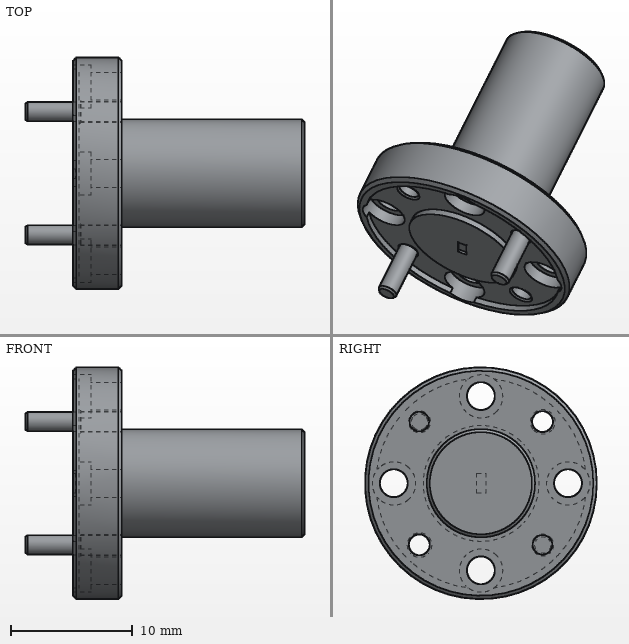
import cadquery as cq
import math

total_length = 22.92
pin_reach = 3.9
flange_diameter = 19.05
flange_thickness = 4.03
barrel_diameter = 8.9
flange_chamfer = 0.3
barrel_chamfer = 0.25

groove_outer_diameter = 17.28
boss_diameter = 9.51
groove_depth = 0.5

pitch_radius = 7.15
screw_hole_diameter = 2.27
counterbore_diameter = 3.55
counterbore_depth = 1.5
dowel_hole_diameter = 1.7
dowel_hole_chamfer = 0.15

pin_diameter = 1.6
pin_chamfer_length = 0.2
pin_chamfer_width = 0.14
pin_hole_chamfer = 0.1

port_width = 0.78
port_height = 1.6
port_depth = 0.2

flange_face = pin_reach
flange_back = flange_face + flange_thickness
groove_floor = flange_face + groove_depth

screw_angles = [0, 90, 180, 270]
dowel_hole_angles = [45, 225]
pin_angles = [135, 315]


def pitch_point(angle):
    """Y and Z of a point on the pitch circle, at an angle from +Y toward +Z."""
    radians = math.radians(angle)
    return pitch_radius * math.cos(radians), pitch_radius * math.sin(radians)


def cylinder(diameter, start, end, angle=None):
    """Cylinder along X, on the main axis or, given an angle, on the pitch circle."""
    y, z = (0, 0) if angle is None else pitch_point(angle)
    return cq.Workplane("YZ", origin=(start, y, z)).circle(diameter / 2).extrude(end - start)


def make_blank():
    """Chamfered flange disc joined to the barrel."""
    flange = cylinder(flange_diameter, flange_face, flange_back).edges().chamfer(flange_chamfer)
    barrel = cylinder(barrel_diameter, groove_floor, total_length).faces(">X").chamfer(barrel_chamfer)
    return flange.union(barrel)


def make_groove():
    outer = cylinder(groove_outer_diameter, flange_face, groove_floor)
    return outer.cut(cylinder(boss_diameter, flange_face, groove_floor))


def make_screw_hole(angle):
    hole = cylinder(screw_hole_diameter, flange_face, flange_back, angle)
    counterbore = cylinder(counterbore_diameter, flange_face, flange_face + counterbore_depth, angle)
    return hole.union(counterbore)


def make_dowel_hole(diameter, mouth_chamfer, angle):
    """Through hole with a chamfered mouth at the groove floor."""
    hole = cylinder(diameter, groove_floor, flange_back, angle)
    y, z = pitch_point(angle)
    mouth = cq.Solid.makeCone(
        diameter / 2 + mouth_chamfer,
        diameter / 2,
        mouth_chamfer,
        pnt=cq.Vector(groove_floor, y, z),
        dir=cq.Vector(1, 0, 0),
    )
    return hole.union(cq.Workplane(obj=mouth))


def make_port():
    return cq.Workplane("YZ", origin=(flange_face, 0, 0)).rect(port_width, port_height).extrude(port_depth)


def make_housing():
    housing = make_blank().cut(make_groove()).cut(make_port())
    for angle in screw_angles:
        housing = housing.cut(make_screw_hole(angle))
    for angle in dowel_hole_angles:
        housing = housing.cut(make_dowel_hole(dowel_hole_diameter, dowel_hole_chamfer, angle))
    for angle in pin_angles:
        housing = housing.cut(make_dowel_hole(pin_diameter, pin_hole_chamfer, angle))
    return housing


def make_pin(angle):
    """Dowel pin through the flange, chamfered at its free tip."""
    pin = cylinder(pin_diameter, 0, flange_back, angle)
    return pin.faces("<X").chamfer(pin_chamfer_length, pin_chamfer_width)


housing = make_housing()
pins = [make_pin(angle) for angle in pin_angles]

result = cq.Compound.makeCompound([housing.val(), *[pin.val() for pin in pins]])